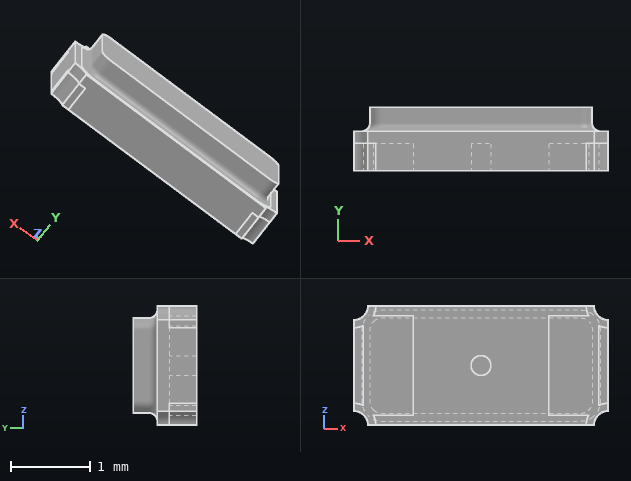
import cadquery as cq

length = 3.2
height = 1.5
base_depth = 0.5
total_depth = 0.8
notch_radius = 0.175

lid_length = 2.8
lid_height = 1.2
lid_corner_radius = 0.15
flare_radius = 0.1
lid_depth = total_depth - base_depth

metal_depth = 0.35
ring_outer_radius = 0.275
pad_end_margin = 0.12
pad_side_margin = 0.125
pad_inner_distance = 0.745

contact_radius = 0.125


def plane_at(depth):
    """Plane at the given Y whose normal points along +Y, with local Y along -Z."""
    return cq.Workplane(cq.Plane(origin=(0, depth, 0), xDir=(1, 0, 0), normal=(0, 1, 0)))


def make_envelope():
    """Base outline with round corner notches, before the metal recesses."""
    corners = plane_at(0).rect(length, height, forConstruction=True).vertices()
    notches = corners.circle(notch_radius).extrude(base_depth)
    return plane_at(0).rect(length, height).extrude(base_depth).cut(notches)


def make_terminal(side, envelope):
    """Terminal at the -X end (side = -1) or at the +X end (side = 1)."""
    pad_length = pad_inner_distance - pad_end_margin
    pad_center = side * (length / 2 - pad_end_margin - pad_length / 2)
    pad_height = height - 2 * pad_side_margin
    terminal = plane_at(0).center(pad_center, 0).rect(pad_length, pad_height).extrude(metal_depth)
    for end in (-1, 1):
        corner = plane_at(0).center(side * length / 2, end * height / 2)
        terminal = terminal.union(corner.circle(ring_outer_radius).extrude(metal_depth))
    return terminal.intersect(envelope)


def make_contact():
    return plane_at(0).circle(contact_radius).extrude(metal_depth)


def make_base(envelope, inserts):
    """Base body with a matching recess for every metal insert."""
    base = envelope
    for insert in inserts:
        base = base.cut(insert)
    return base


def make_lid():
    """Rounded lid that flares out to its seat on the base."""
    block = plane_at(base_depth).rect(lid_length, lid_height).extrude(lid_depth)
    block = block.edges("|Y").fillet(lid_corner_radius)
    slab = plane_at(0).rect(length, height).extrude(base_depth)
    joined = slab.union(block)
    half_x = (length + lid_length) / 4
    half_z = (height + lid_height) / 4
    seat_edges = cq.selectors.BoxSelector(
        (-half_x, base_depth - lid_depth / 4, -half_z),
        (half_x, base_depth + lid_depth / 4, half_z),
    )
    return joined.edges(seat_edges).fillet(flare_radius).cut(slab)


envelope = make_envelope()
terminals = [make_terminal(side, envelope) for side in (-1, 1)]
contact = make_contact()
base = make_base(envelope, [*terminals, contact])
lid = make_lid()

result = cq.Compound.makeCompound(
    [base.val(), lid.val(), contact.val(), *[terminal.val() for terminal in terminals]]
)